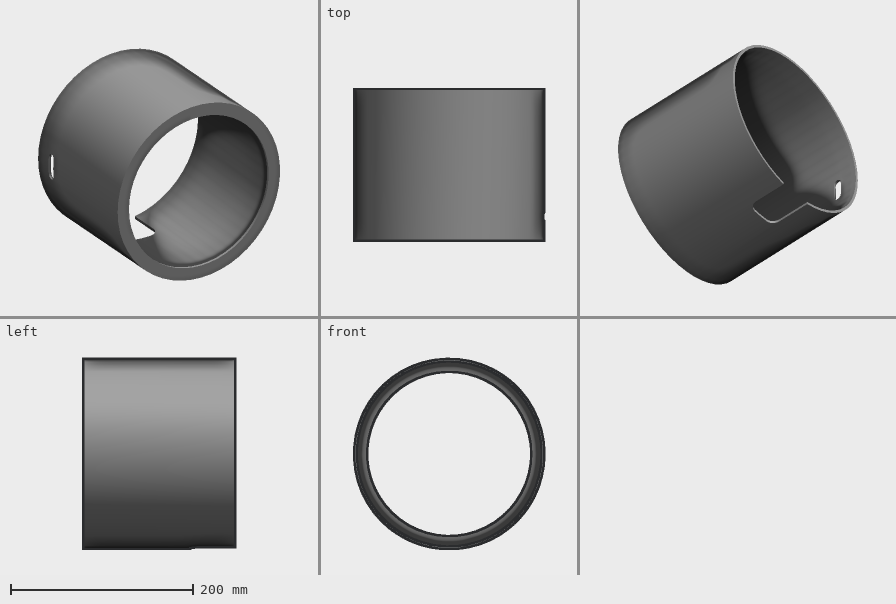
import cadquery as cq

outer_diameter = 209.25
wall_thickness = 3.125
length = 167.0

lip_opening_diameter = 180.0
lip_thickness = wall_thickness

notch_width = 40.0
notch_depth = 50.0
notch_corner_radius = 10.0

slot_length = 30.0
slot_width = 10.0
slot_center_from_front = 26.75

inner_diameter = outer_diameter - 2 * wall_thickness
front_y = -length / 2
back_y = length / 2


def cylinder_along_y(diameter, start_y, end_y):
    """Solid cylinder on the Y axis between two Y positions."""
    return (
        cq.Workplane("XZ", origin=(0, start_y, 0))
        .circle(diameter / 2)
        .extrude(start_y - end_y)
    )


def lipped_tube():
    """Tube whose bore stops at the lip, with a smaller opening through it."""
    bore = cylinder_along_y(inner_diameter, front_y, back_y - lip_thickness)
    opening = cylinder_along_y(lip_opening_diameter, front_y, back_y)
    return cylinder_along_y(outer_diameter, front_y, back_y).cut(bore).cut(opening)


def bottom_notch():
    """Cutter from the axis down through the bottom wall, rounded at its inner corners."""
    return (
        cq.Workplane("XY", origin=(0, front_y + notch_depth / 2, 0))
        .rect(notch_width, notch_depth)
        .extrude(-outer_diameter)
        .edges("|Z and >Y")
        .fillet(notch_corner_radius)
    )


def side_slot():
    """Cutter from the axis out through the +X wall."""
    return (
        cq.Workplane("YZ", origin=(0, front_y + slot_center_from_front, 0))
        .slot2D(slot_length, slot_width, 90)
        .extrude(outer_diameter)
    )


result = lipped_tube().cut(bottom_notch()).cut(side_slot())